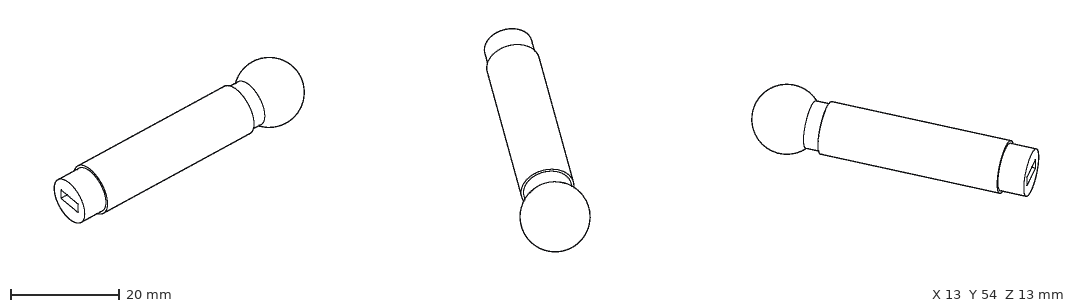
import cadquery as cq
import math

total_length = 54.0
ball_radius = 13.0 / 2
body_radius = 10.0 / 2
neck_radius = 9.0 / 2

spigot_length = 5.0
body_length = 34.85

slot_width = 5.0
slot_height = 2.1
slot_depth = spigot_length

body_end = spigot_length + body_length
ball_center = total_length - ball_radius
neck_end = ball_center - math.sqrt(ball_radius**2 - neck_radius**2)


def make_handle():
    """Revolve the stepped shaft and its ball end about the Y axis."""
    profile = (
        cq.Workplane("XY")
        .lineTo(neck_radius, 0)
        .lineTo(neck_radius, spigot_length)
        .lineTo(body_radius, spigot_length)
        .lineTo(body_radius, body_end)
        .lineTo(neck_radius, body_end)
        .lineTo(neck_radius, neck_end)
        .threePointArc((ball_radius, ball_center), (0, total_length))
        .close()
    )
    return profile.revolve(360, (0, 0), (0, 1))


def make_slot():
    """Rectangular block that cuts the slot inward from the spigot end."""
    return cq.Workplane("XY").box(
        slot_width, slot_depth, slot_height, centered=(True, False, True)
    )


result = make_handle().cut(make_slot())